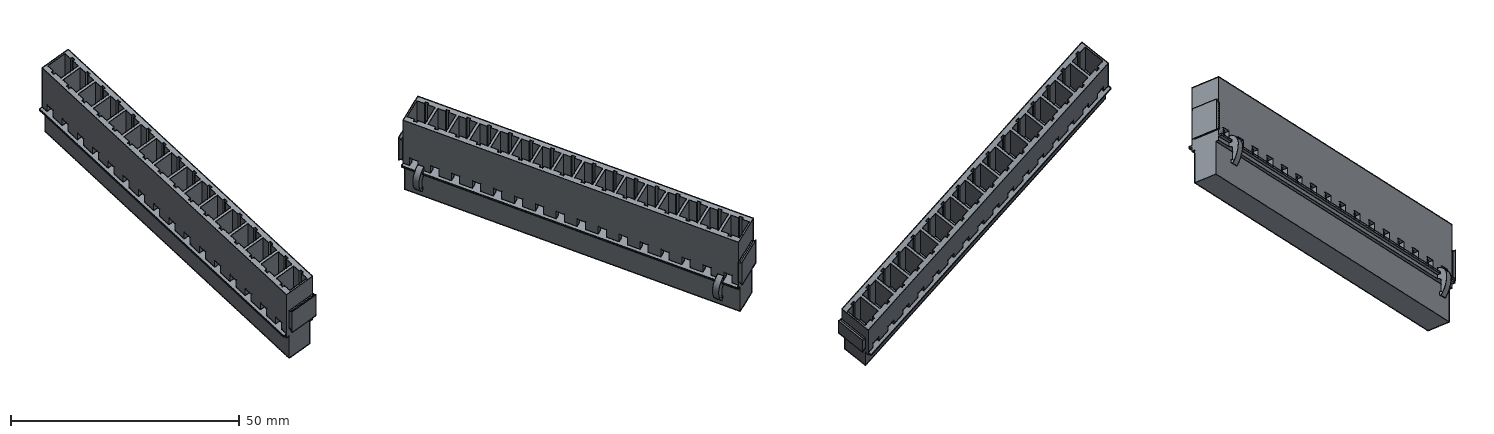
import cadquery as cq

POLE_COUNT = 16
PITCH = 5.08
TOTAL_LENGTH = 83.28
TOTAL_HEIGHT = 24.55
PAD_THICKNESS = 0.94
BODY_LENGTH = TOTAL_LENGTH - 2 * PAD_THICKNESS

UPPER_WIDTH = 7.6
LOWER_WIDTH = 6.0
LOWER_HEIGHT = 8.35

FLANGE_WIDTH = 9.2
FLANGE_THICKNESS = 0.5
FLANGE_TOP = 9.85

CHAMBER_LENGTH = 4.4
CHAMBER_WIDTH = 5.0
GROOVE_LENGTH = 0.8
GROOVE_SPAN = 6.0
CHAMBER_FLOOR = FLANGE_TOP

WINDOW_LENGTH = 2.0
WINDOW_HEIGHT = 2.5

PAD_FRONT = -3.0
PAD_BACK = 4.0
PAD_BOTTOM = 10.6
PAD_TOP = 18.4
PAD_FLARE = 0.55
PAD_NECK = 0.35

HOOK_LENGTH = 1.5
HOOK_END_DISTANCE = 4.36
HOOK_REACH = 6.4
HOOK_TOP = 11.2
HOOK_ROOT = 3.5
HOOK_SHOULDER_RADIUS = HOOK_REACH - HOOK_ROOT
HOOK_INNER = 4.8
HOOK_TIP = 3.75
HOOK_INNER_RADIUS = 0.95
BARB_TOP = 4.8
BARB_REACH = 0.5
BARB_HEIGHT = 0.65


def block(length, width, bottom, top):
    """Box centred on X and Y between two heights."""
    return (
        cq.Workplane("XY")
        .workplane(offset=bottom)
        .rect(length, width)
        .extrude(top - bottom)
    )


def make_housing():
    """Stepped housing with its flange, before the chambers are cut."""
    lower = block(BODY_LENGTH, LOWER_WIDTH, 0, LOWER_HEIGHT)
    upper = block(BODY_LENGTH, UPPER_WIDTH, LOWER_HEIGHT, TOTAL_HEIGHT)
    flange = block(BODY_LENGTH, FLANGE_WIDTH, FLANGE_TOP - FLANGE_THICKNESS, FLANGE_TOP)
    return lower.union(upper).union(flange)


def make_pole_cutter():
    """Chamber, key grooves and windows of one pole."""
    chamber = block(CHAMBER_LENGTH, CHAMBER_WIDTH, CHAMBER_FLOOR, TOTAL_HEIGHT)
    grooves = block(GROOVE_LENGTH, GROOVE_SPAN, CHAMBER_FLOOR, TOTAL_HEIGHT)
    windows = block(WINDOW_LENGTH, UPPER_WIDTH, CHAMBER_FLOOR, CHAMBER_FLOOR + WINDOW_HEIGHT)
    return chamber.union(grooves).union(windows)


def make_pad():
    """Pad on the +X end face, widening from its neck to its outer face."""
    root_x = BODY_LENGTH / 2
    neck_x = root_x + PAD_NECK
    face_x = TOTAL_LENGTH / 2
    neck_bottom = PAD_BOTTOM + PAD_FLARE
    neck_top = PAD_TOP - PAD_FLARE
    return (
        cq.Workplane("XZ", origin=(0, PAD_BACK, 0))
        .moveTo(root_x, neck_bottom)
        .lineTo(neck_x, neck_bottom)
        .lineTo(face_x, PAD_BOTTOM)
        .lineTo(face_x, PAD_TOP)
        .lineTo(neck_x, neck_top)
        .lineTo(root_x, neck_top)
        .close()
        .extrude(PAD_BACK - PAD_FRONT)
    )


def make_hook():
    """Latch hook centred on X = 0, rooted inside the back wall, curving out and down to its barb."""
    shoulder_z = HOOK_TOP - HOOK_SHOULDER_RADIUS
    barb_face = HOOK_INNER - BARB_REACH
    corner_z = LOWER_HEIGHT - HOOK_INNER_RADIUS
    return (
        cq.Workplane("YZ", origin=(-HOOK_LENGTH / 2, 0, 0))
        .moveTo(HOOK_ROOT, LOWER_HEIGHT)
        .lineTo(HOOK_ROOT, HOOK_TOP)
        .radiusArc((HOOK_REACH, shoulder_z), HOOK_SHOULDER_RADIUS)
        .tangentArcPoint((HOOK_INNER, HOOK_TIP), relative=False)
        .lineTo(barb_face, BARB_TOP - BARB_HEIGHT)
        .lineTo(barb_face, BARB_TOP)
        .lineTo(HOOK_INNER, BARB_TOP)
        .lineTo(HOOK_INNER, corner_z)
        .radiusArc((HOOK_INNER - HOOK_INNER_RADIUS, LOWER_HEIGHT), -HOOK_INNER_RADIUS)
        .close()
        .extrude(HOOK_LENGTH)
    )


result = make_housing()

pole_cutter = make_pole_cutter()
for pole in range(POLE_COUNT):
    pole_x = (pole - (POLE_COUNT - 1) / 2) * PITCH
    result = result.cut(pole_cutter.translate((pole_x, 0, 0)))

pad = make_pad()
result = result.union(pad).union(pad.mirror("YZ"))

hook_x = BODY_LENGTH / 2 - HOOK_END_DISTANCE
for side in (-1, 1):
    result = result.union(make_hook().translate((side * hook_x, 0, 0)))